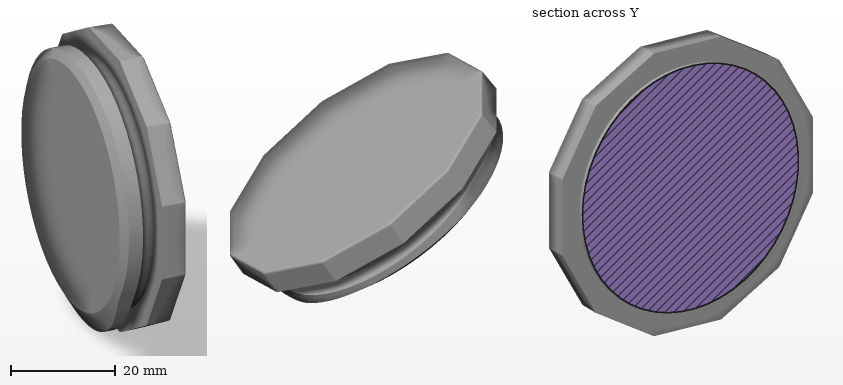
import cadquery as cq
import math

head_flats = 57.9
head_sides = 12
head_thickness = 5.05
head_draft = 0.145
head_rounding = 0.5

neck_diameter = 50.0
neck_length = 2.95

flange_thickness = 4.0
lobe_radius = 25.7
lobe_offset = 1.0
lobe_angle = math.radians(30)
overall_height = 58.2
nose_reach = overall_height - head_flats / 2
face_diameter = 49.35
bevel_angle = math.radians(30)

flange_back = flange_thickness
head_front = flange_back + neck_length


def plane_at(y):
    """Sketch plane normal to Y at the given Y; extrusions run toward +Y."""
    return cq.Workplane(cq.Plane(origin=(0, y, 0), xDir=(-1, 0, 0), normal=(0, 1, 0)))


def polar(radius, angle):
    return radius * math.cos(angle), radius * math.sin(angle)


def shifted(center, offset):
    return center[0] + offset[0], center[1] + offset[1]


def mirrored(point):
    return -point[0], point[1]


def make_head():
    half_step = math.pi / head_sides
    corner_diameter = head_flats / math.cos(half_step)
    draft_angle = math.degrees(math.atan(head_draft / head_thickness))
    return (
        plane_at(head_front)
        .transformed(rotate=(0, 0, math.degrees(half_step)))
        .polygon(head_sides, corner_diameter)
        .extrude(head_thickness, taper=draft_angle)
        .edges("not <Y")
        .fillet(head_rounding)
    )


def make_neck():
    return plane_at(flange_back).circle(neck_diameter / 2).extrude(neck_length)


def flange_outline():
    lobe_center = polar(lobe_offset, lobe_angle)
    side_normal = -lobe_angle
    lobe_top = shifted(lobe_center, (0, lobe_radius))
    lobe_middle = shifted(lobe_center, polar(lobe_radius, lobe_angle))
    lobe_end = shifted(lobe_center, polar(lobe_radius, side_normal))

    side_distance = lobe_top[1]
    nose_drop = (nose_reach - side_distance) / (1 - math.sin(lobe_angle))
    nose_radius = nose_reach - nose_drop
    nose_start = shifted((0, -nose_drop), polar(nose_radius, side_normal))
    nose_tip = (0, -nose_reach)

    return (
        cq.Workplane("XZ")
        .moveTo(*mirrored(lobe_top))
        .lineTo(*lobe_top)
        .threePointArc(lobe_middle, lobe_end)
        .lineTo(*nose_start)
        .threePointArc(nose_tip, mirrored(nose_start))
        .lineTo(*mirrored(lobe_end))
        .threePointArc(mirrored(lobe_middle), mirrored(lobe_top))
        .close()
    )


def make_flange():
    face_radius = face_diameter / 2
    cone_back_radius = face_radius + flange_thickness / math.tan(bevel_angle)
    bevel_cone = (
        cq.Workplane("XY")
        .polyline([(0, 0), (face_radius, 0), (cone_back_radius, flange_back), (0, flange_back)])
        .close()
        .revolve(360, (0, 0), (0, 1))
    )
    return flange_outline().extrude(-flange_thickness).intersect(bevel_cone)


result = make_head().union(make_neck()).union(make_flange())